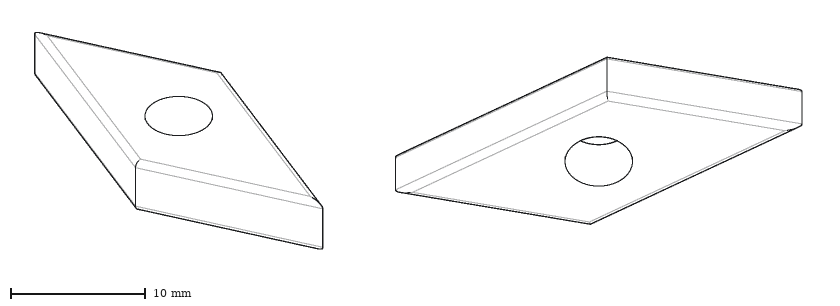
import cadquery as cq

side_length = 18.6
width = 10.6
slant_run = 10.4
thickness = 4.5
edge_radius = 0.5
hole_diameter = 5.0

half_length = (side_length + slant_run) / 2
half_width = width / 2


def rounded_plate():
    corners = [
        (-half_length, -half_width),
        (-half_length + side_length, -half_width),
        (half_length, half_width),
        (half_length - side_length, half_width),
    ]
    plate = cq.Workplane("XY").polyline(corners).close().extrude(thickness)
    return plate.faces("<Z or >Z").edges().fillet(edge_radius)


def centre_hole():
    return cq.Workplane("XY").circle(hole_diameter / 2).extrude(thickness)


result = rounded_plate().cut(centre_hole())